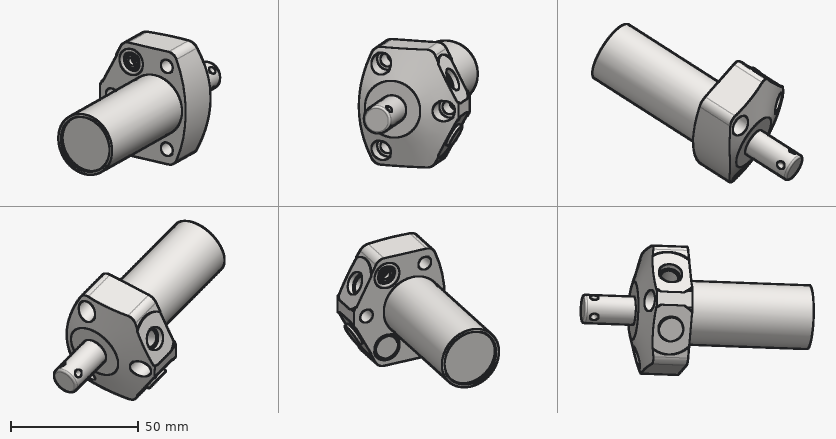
import cadquery as cq
import math

TOTAL_LENGTH = 90.1

BODY_DEPTH = 19.1
BODY_HALF_HEIGHT = 23.8
NOSE_X = -25.8
NOSE_HALF_HEIGHT = 3.3
SLANT_ANGLE = 28.0
BULGE_X = 14.3
BULGE_RADIUS = 54.6
CORNER_RADIUS = 4.1
CROWN_RADIUS = 11.45
CROWN_SLOPE = 18.3

MOUNT_HOLE_RADIUS = 2.8
MOUNT_SEAT_RADIUS = 4.15
MOUNT_SEAT_Y = 9.0
MOUNT_HOLES = [(-20.2, 0), (5.5, 17.5), (5.5, -17.5)]

BARREL_RADIUS = 12.6
BARREL_LENGTH = 50.8
END_RECESS_RADIUS = 11.4
END_RECESS_DEPTH = 1.3
ROD_DIAMETER = 11.3
ROD_RADIUS = ROD_DIAMETER / 2
ROD_LENGTH = TOTAL_LENGTH - BARREL_LENGTH - BODY_DEPTH
ROD_TIP_ROUNDING = 0.9
DIMPLE_RADIUS = 1.7
DIMPLE_SETBACK = 3.9
DIMPLE_ANGLES = (45, 135, 225, 315)

SIDE_PORT_Y = 8.0
SIDE_PORT_Z = 11.3
SPOTFACE_RADIUS = 10.6
SPOTFACE_DEPTH = 0.32
PORT_MOUTH_RADIUS = 4.6
PORT_NECK_RADIUS = 4.15
PORT_BORE_RADIUS = 3.5
PORT_NECK_DEPTH = 2.25
PORT_SHOULDER_DEPTH = 2.7
PORT_DEPTH = 12.6
SIDE_PLUG_RADIUS = 4.9
SIDE_PLUG_HEIGHT = 1.4

FACE_PORT_X = -11.2
FACE_PORT_Z = 15.9
SEAL_MID_RADIUS = 4.7
SEAL_SECTION_RADIUS = 0.9
SEAL_SINK = 0.45
SEAL_POCKET_DEPTH = 1.1
STEM_RADIUS = 3.2
STEM_CHAMFER = 0.5
STEM_SINK = 0.4
STEM_BORE_RADIUS = 1.6
STEM_BORE_DEPTH = 2.7
FACE_PLUG_RECESS_RADIUS = 5.6
FACE_PLUG_RADIUS = 4.9
FACE_PLUG_GROOVE_DEPTH = 0.7

SLANT = math.radians(SLANT_ANGLE)


def cylinder_along_y(radius, y_start, y_end, x=0, z=0):
    plane = cq.Plane(origin=(x, y_start, z), xDir=(1, 0, 0), normal=(0, 1, 0))
    return cq.Workplane(plane).circle(radius).extrude(y_end - y_start)


def slant_x(z):
    """X of a slanted side at height |z|, before the spotface is cut."""
    return NOSE_X + (abs(z) - NOSE_HALF_HEIGHT) * math.tan(SLANT)


def make_body():
    bulge_drop = BULGE_RADIUS - math.sqrt(BULGE_RADIUS**2 - BODY_HALF_HEIGHT**2)
    top_left = slant_x(BODY_HALF_HEIGHT)
    top_right = BULGE_X - bulge_drop
    body = (
        cq.Workplane("XZ")
        .moveTo(NOSE_X, -NOSE_HALF_HEIGHT)
        .lineTo(NOSE_X, NOSE_HALF_HEIGHT)
        .lineTo(top_left, BODY_HALF_HEIGHT)
        .lineTo(top_right, BODY_HALF_HEIGHT)
        .threePointArc((BULGE_X, 0), (top_right, -BODY_HALF_HEIGHT))
        .lineTo(top_left, -BODY_HALF_HEIGHT)
        .close()
        .extrude(-BODY_DEPTH)
    )
    for side in (">Z", "<Z"):
        body = body.faces(side).edges("|Y").fillet(CORNER_RADIUS)

    rim = CROWN_RADIUS + BODY_HALF_HEIGHT
    rim_y = BODY_DEPTH - (rim - CROWN_RADIUS) * math.tan(math.radians(CROWN_SLOPE))
    crown = (
        cq.Workplane("XY")
        .polyline([(0, 0), (rim, 0), (rim, rim_y), (CROWN_RADIUS, BODY_DEPTH), (0, BODY_DEPTH)])
        .close()
        .revolve(360, (0, 0, 0), (0, 1, 0))
    )
    return body.intersect(crown)


def side_port_plane(side):
    """Spotface floor of the upper (side=1) or lower (side=-1) slanted side, facing outward."""
    normal = cq.Vector(-math.cos(SLANT), 0, side * math.sin(SLANT))
    on_slant = cq.Vector(slant_x(SIDE_PORT_Z), SIDE_PORT_Y, side * SIDE_PORT_Z)
    return cq.Plane(origin=on_slant - normal * SPOTFACE_DEPTH, xDir=(0, 1, 0), normal=normal)


def make_spotface(side):
    return cq.Workplane(side_port_plane(side)).circle(SPOTFACE_RADIUS).extrude(2 * SPOTFACE_DEPTH)


def make_side_port():
    plane = side_port_plane(1)
    profile = cq.Plane(origin=plane.origin, xDir=plane.xDir, normal=plane.yDir.multiply(-1))
    return (
        cq.Workplane(profile)
        .polyline([
            (0, 0),
            (PORT_MOUTH_RADIUS, 0),
            (PORT_NECK_RADIUS, -PORT_NECK_DEPTH),
            (PORT_BORE_RADIUS, -PORT_SHOULDER_DEPTH),
            (PORT_BORE_RADIUS, -PORT_DEPTH),
            (0, -PORT_DEPTH),
        ])
        .close()
        .revolve(360, (0, 0, 0), (0, 1, 0))
    )


def make_side_plug():
    return cq.Workplane(side_port_plane(-1)).circle(SIDE_PLUG_RADIUS).extrude(SIDE_PLUG_HEIGHT)


def make_rod():
    rod = cylinder_along_y(ROD_RADIUS, 0, BODY_DEPTH + ROD_LENGTH)
    rod = rod.faces(">Y").edges().fillet(ROD_TIP_ROUNDING)
    dimple_y = BODY_DEPTH + ROD_LENGTH - DIMPLE_SETBACK
    cone_length = 2 * DIMPLE_RADIUS
    apex = cq.Vector(0, dimple_y, ROD_RADIUS - DIMPLE_RADIUS)
    dimple = cq.Workplane(cq.Solid.makeCone(0, cone_length, cone_length, apex, cq.Vector(0, 0, 1)))
    for angle in DIMPLE_ANGLES:
        rod = rod.cut(dimple.rotate((0, 0, 0), (0, 1, 0), angle))
    return rod


def make_barrel():
    barrel = cylinder_along_y(BARREL_RADIUS, -BARREL_LENGTH, 0)
    return barrel.cut(
        cylinder_along_y(END_RECESS_RADIUS, -BARREL_LENGTH, END_RECESS_DEPTH - BARREL_LENGTH)
    )


def add_sealed_port(part):
    place = {"x": FACE_PORT_X, "z": FACE_PORT_Z}
    part = part.cut(cylinder_along_y(SEAL_MID_RADIUS, 0, SEAL_POCKET_DEPTH, **place))
    stem = cylinder_along_y(STEM_RADIUS, STEM_SINK, SEAL_POCKET_DEPTH, **place)
    part = part.union(stem.faces("<Y").chamfer(STEM_CHAMFER))
    seal = cq.Workplane(
        cq.Solid.makeTorus(
            SEAL_MID_RADIUS,
            SEAL_SECTION_RADIUS,
            cq.Vector(FACE_PORT_X, SEAL_SINK, FACE_PORT_Z),
            cq.Vector(0, 1, 0),
        )
    )
    part = part.union(seal)
    return part.cut(cylinder_along_y(STEM_BORE_RADIUS, 0, STEM_SINK + STEM_BORE_DEPTH, **place))


def make_face_plug_groove():
    place = {"x": FACE_PORT_X, "z": -FACE_PORT_Z}
    recess = cylinder_along_y(FACE_PLUG_RECESS_RADIUS, 0, FACE_PLUG_GROOVE_DEPTH, **place)
    return recess.cut(cylinder_along_y(FACE_PLUG_RADIUS, 0, FACE_PLUG_GROOVE_DEPTH, **place))


result = make_body()
for side in (1, -1):
    result = result.cut(make_spotface(side))
result = result.cut(make_side_port()).union(make_side_plug())
for hole_x, hole_z in MOUNT_HOLES:
    result = result.cut(cylinder_along_y(MOUNT_HOLE_RADIUS, 0, BODY_DEPTH, hole_x, hole_z))
    result = result.cut(cylinder_along_y(MOUNT_SEAT_RADIUS, MOUNT_SEAT_Y, BODY_DEPTH, hole_x, hole_z))
result = result.union(make_rod()).union(make_barrel())
result = add_sealed_port(result)
result = result.cut(make_face_plug_groove())